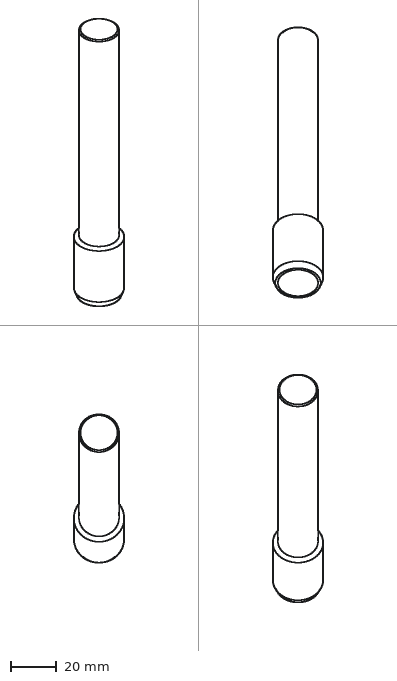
import cadquery as cq

total_length = 140.0
pin_diameter = 17.5
sleeve_diameter = 22.0
sleeve_length = 31.0

pin_tip_height = 0.5
pin_tip_inset = 0.7
shoulder_height = 0.8
lead_in_height = 3.1
lead_in_inset = 1.1

pin_radius = pin_diameter / 2
sleeve_radius = sleeve_diameter / 2


def make_pin():
    """Full-length round pin with a small bevel around its top end."""
    profile = (
        cq.Workplane("XZ")
        .lineTo(pin_radius, 0)
        .lineTo(pin_radius, total_length - pin_tip_height)
        .lineTo(pin_radius - pin_tip_inset, total_length)
        .lineTo(0, total_length)
        .close()
    )
    return profile.revolve(360, (0, 0), (0, 1))


def make_sleeve():
    """Tube around the foot of the pin, with a conical shoulder and a tapered lower end."""
    profile = (
        cq.Workplane("XZ")
        .moveTo(pin_radius, 0)
        .lineTo(sleeve_radius - lead_in_inset, 0)
        .lineTo(sleeve_radius, lead_in_height)
        .lineTo(sleeve_radius, sleeve_length - shoulder_height)
        .lineTo(pin_radius, sleeve_length)
        .close()
    )
    return profile.revolve(360, (0, 0), (0, 1))


pin = make_pin()
sleeve = make_sleeve()

result = cq.Compound.makeCompound([pin.val(), sleeve.val()])